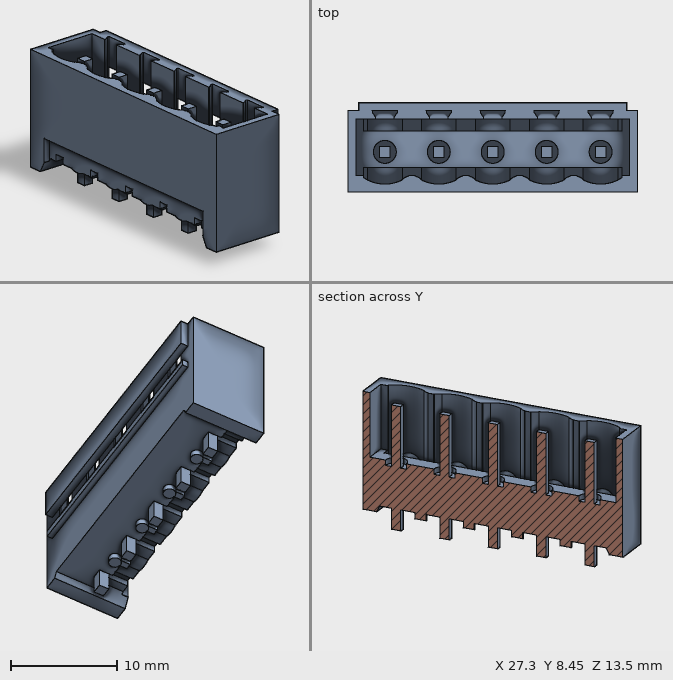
import cadquery as cq
import math


length = 27.3
depth = 7.7
height = 12.0
side_wall = 0.76
front_wall = 1.55
back_wall = 0.8
floor_top = 5.45
cavity_back = depth - back_wall

pole_count = 5
pitch = 5.08
pin_width = 1.0
pin_y = 3.8
pin_tip = 11.17
pin_tail = 1.5
well_diameter = 2.15
well_depth = 0.55

channel_length = 24.3
channel_bottom = 3.82
floor_front = 2.32
floor_back = 5.75
ridge_angle = 60.0
ridge_base_width = 3.28
ridge_round_width = 2.45

scallop_wall = 0.76
scallop_radius = 3.6
crest_radius = 1.28

slot_bottom = 7.84
slot_wide = 2.35
slot_narrow = 1.72
slot_outer_straight = 0.2
slot_inner_straight = 0.15

rail_length = 25.25
rail_depth = 0.75
rail_height = 3.1
bead_depth = 0.57
bead_height = 0.75
bead_bottom = 5.95

foot_width = 1.45
foot_slope_run = 0.7
front_clearance = 1.36
rear_clearance = 0.63
recess_length = 23.35
recess_depth = 0.65
recess_bottom = 1.1
recess_top = 3.55
pin_slot_top = 2.07
bulge_width = 1.65
bulge_drop = 0.2
underside_step_y = 2.87
standoff_diameter = 1.2
standoff_rib_width = 0.63
standoff_rib_bottom = 0.25
standoff_rib_front = 2.32

pole_xs = [(i - (pole_count - 1) / 2) * pitch for i in range(pole_count)]
gap_xs = [x + pitch / 2 for x in pole_xs[:-1]]


def block(x_size, y_start, y_end, z_start, z_end, x_centre=0.0):
    """Box centred on x_centre and spanning the given Y and Z ranges."""
    size = (x_size, y_end - y_start, z_end - z_start)
    box = cq.Workplane("XY").box(*size, centered=(True, False, False))
    return box.translate((x_centre, y_start, z_start))


def post(diameter, x, y, z_start, z_end):
    """Upright cylinder."""
    base = cq.Workplane("XY", origin=(x, y, z_start))
    return base.circle(diameter / 2).extrude(z_end - z_start)


def along_y(y_start):
    """XZ workplane at y_start; a negative extrusion runs towards +Y."""
    return cq.Workplane("XZ", origin=(0, y_start, 0))


def scallop(x):
    """Rounded pocket in the front wall, with its sides eased by the round crests beside it."""
    band = block(channel_length, scallop_wall / 2, front_wall, channel_bottom, height)
    centre_y = scallop_wall + scallop_radius
    pocket = post(2 * scallop_radius, x, centre_y, channel_bottom, height).intersect(band)
    for crest_x in gap_xs:
        crest_y = front_wall - crest_radius
        pocket = pocket.cut(post(2 * crest_radius, crest_x, crest_y, channel_bottom, height))
    return pocket


def dovetail_slot(x):
    """Slot through the back wall, wider towards the outside."""
    wide = slot_wide / 2
    narrow = slot_narrow / 2
    outline = [
        (narrow, cavity_back),
        (narrow, cavity_back + slot_inner_straight),
        (wide, depth - slot_outer_straight),
        (wide, depth),
    ]
    mirrored = [(-px, py) for px, py in reversed(outline)]
    base = cq.Workplane("XY", origin=(x, 0, slot_bottom))
    return base.polyline(outline + mirrored).close().extrude(height - slot_bottom)


def ridge(x, y_start, y_end):
    """Ridge along Y with flat flanks running tangentially into a rounded top."""
    slope = math.radians(ridge_angle)
    base = ridge_base_width / 2
    shoulder = ridge_round_width / 2
    shoulder_z = channel_bottom + (base - shoulder) * math.tan(slope)
    top_z = shoulder_z + shoulder * math.tan(slope / 2)
    profile = (
        along_y(y_start)
        .moveTo(x - base, channel_bottom)
        .lineTo(x - shoulder, shoulder_z)
        .threePointArc((x, top_z), (x + shoulder, shoulder_z))
        .lineTo(x + base, channel_bottom)
        .close()
    )
    return profile.extrude(y_start - y_end)


def underside_gap(clearance, y_start, y_end):
    """Space between the two sloped feet, up to the given height."""
    foot = length / 2 - foot_width
    top = foot - foot_slope_run * clearance / front_clearance
    outline = [(-foot, 0), (foot, 0), (top, clearance), (-top, clearance)]
    return along_y(y_start).polyline(outline).close().extrude(y_start - y_end)


def bulge(x):
    """Shallow round bulge hanging from the underside behind the front recess."""
    profile = (
        along_y(recess_depth)
        .moveTo(x - bulge_width / 2, front_clearance)
        .threePointArc((x, front_clearance - bulge_drop), (x + bulge_width / 2, front_clearance))
        .close()
    )
    return profile.extrude(recess_depth - underside_step_y)


housing = block(length, 0, depth, 0, height)
housing = housing.cut(block(length - 2 * side_wall, front_wall, cavity_back, floor_top, height))
housing = housing.cut(block(channel_length, front_wall, floor_front, channel_bottom, floor_top))
housing = housing.cut(block(channel_length, floor_back, cavity_back, channel_bottom, floor_top))
for pole_x in pole_xs:
    housing = housing.cut(scallop(pole_x))
    housing = housing.cut(dovetail_slot(pole_x))
    housing = housing.union(ridge(pole_x, scallop_wall / 2, floor_front))
    housing = housing.union(ridge(pole_x, floor_back, cavity_back))

housing = housing.union(block(rail_length, depth, depth + rail_depth, height - rail_height, height))
bead_top = bead_bottom + bead_height
housing = housing.union(block(rail_length, depth, depth + bead_depth, bead_bottom, bead_top))

housing = housing.cut(underside_gap(front_clearance, 0, underside_step_y))
housing = housing.cut(underside_gap(rear_clearance, underside_step_y, depth))
housing = housing.cut(block(recess_length, 0, recess_depth, recess_bottom, recess_top))
for gap_x in gap_xs:
    housing = housing.union(bulge(gap_x))
    housing = housing.union(post(standoff_diameter, gap_x, pin_y, 0, front_clearance))
    rib_spans = (standoff_rib_front, pin_y, standoff_rib_bottom, front_clearance)
    housing = housing.union(block(standoff_rib_width, *rib_spans, gap_x))

pin_front = pin_y - pin_width / 2
pin_back = pin_y + pin_width / 2
for pole_x in pole_xs:
    housing = housing.cut(block(pin_width, recess_depth, pin_y, 0, pin_slot_top, pole_x))
    housing = housing.cut(post(well_diameter, pole_x, pin_y, floor_top - well_depth, floor_top))
    housing = housing.union(block(pin_width, pin_front, pin_back, -pin_tail, pin_tip, pole_x))

result = housing